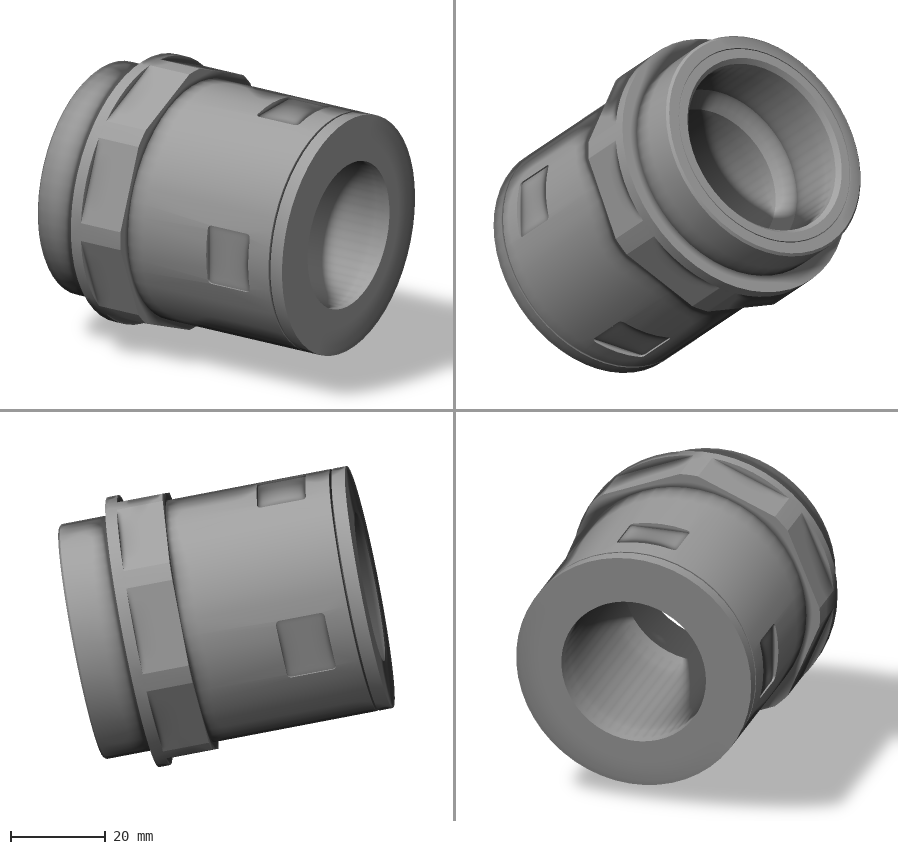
import cadquery as cq

full_turn = 360.0

total_length = 62.0
flange_start = 11.0
flats_start = 13.5
flange_end = 23.4
relief_start = 58.6
relief_width = 0.5

spigot_diameter = 50.48
spigot_chamfer = 0.5
flange_diameter = 58.0
body_diameter = 52.0
relief_diameter = 46.0

flat_count = 8
across_flats = 55.0

mouth_diameter = 40.0
entry_diameter = 38.16
through_diameter = 32.0
mouth_chamfer_length = 1.0
taper_start = 15.0
taper_length = 3.4

ring_outer_diameter = 44.53
ring_inner_diameter = 44.13
ring_depth = 0.5

window_count = 4
window_start = 43.0
window_length = 10.5
window_width = 13.2
window_floor_radius = 24.75
window_corner_radius = 0.9


def cylinder(diameter, start, end):
    """Solid cylinder on the X axis between two positions."""
    return cq.Workplane("YZ", origin=(start, 0, 0)).circle(diameter / 2).extrude(end - start)


def ring(outer_diameter, inner_diameter, start, end):
    """Rectangular-section ring on the X axis."""
    return cylinder(outer_diameter, start, end).cut(cylinder(inner_diameter, start, end))


def make_outside():
    """Spigot, flange and body with the relief groove near the far end."""
    spigot = cylinder(spigot_diameter, 0, flange_start).faces("<X").chamfer(spigot_chamfer)
    flange = cylinder(flange_diameter, flange_start, flange_end)
    body = cylinder(body_diameter, flange_end, total_length)
    relief_end = relief_start + relief_width
    relief = ring(flange_diameter, relief_diameter, relief_start, relief_end)
    return spigot.union(flange).union(body).cut(relief)


def make_flats_cutter():
    """Material outside the octagon, with a corner pointing along each of Y and Z."""
    flats_length = flange_end - flats_start
    octagon = (
        cq.Workplane("YZ", origin=(flats_start, 0, 0))
        .polygon(flat_count, across_flats, circumscribed=True)
        .extrude(flats_length)
        .rotate((0, 0, 0), (1, 0, 0), full_turn / (2 * flat_count))
    )
    return cylinder(2 * flange_diameter, flats_start, flange_end).cut(octagon)


def make_bore():
    """Through bore with a tapered step and a chamfered mouth, revolved about X."""
    taper_end = taper_start + taper_length
    return (
        cq.Workplane("XY")
        .moveTo(0, 0)
        .lineTo(0, mouth_diameter / 2)
        .lineTo(mouth_chamfer_length, entry_diameter / 2)
        .lineTo(taper_start, entry_diameter / 2)
        .lineTo(taper_end, through_diameter / 2)
        .lineTo(total_length, through_diameter / 2)
        .lineTo(total_length, 0)
        .close()
        .revolve(full_turn, (0, 0, 0), (1, 0, 0))
    )


def make_window():
    """Rounded rectangular cutter standing on the window floor, on the +Z side."""
    window_centre = window_start + window_length / 2
    return (
        cq.Workplane("XY", origin=(window_centre, 0, window_floor_radius))
        .rect(window_length, window_width)
        .extrude(body_diameter / 2)
        .edges("|Z")
        .fillet(window_corner_radius)
    )


result = make_outside().cut(make_flats_cutter()).cut(make_bore())
result = result.cut(ring(ring_outer_diameter, ring_inner_diameter, 0, ring_depth))
for index in range(window_count):
    angle = index * full_turn / window_count
    result = result.cut(make_window().rotate((0, 0, 0), (1, 0, 0), angle))